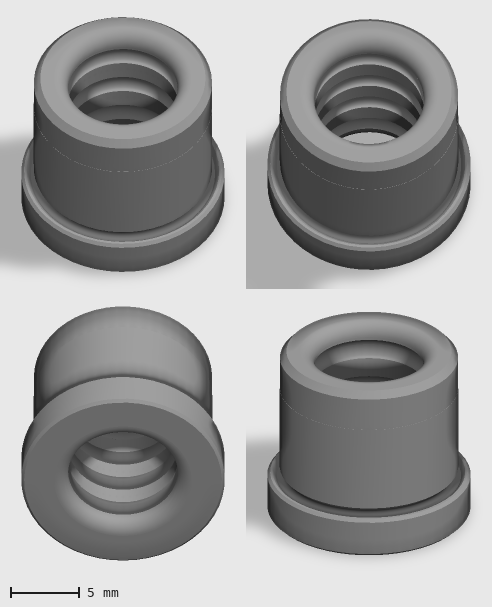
import cadquery as cq
import math

flange_radius = 7.4
height = 13.0
flange_height = 3.0

body_radius = 6.5
pilot_radius = 6.48
pilot_length = 3.0
lead_chamfer_width = 0.47
lead_chamfer_height = 0.5
flange_chamfer = 0.2

body_bottom = 3.5
undercut_outer_radius = 7.0
undercut_depth = 0.3
undercut_round = 0.25
relief_angle = 45.0

bore_radius = 4.0
mouth_radius = 1.0
groove_count = 4
groove_radius = 0.75
groove_pitch = 3.0


def make_blank():
    """Revolve the outside profile, drawn as (radius, height)."""
    floor_height = flange_height - undercut_depth
    corner_radius = body_radius - body_bottom + floor_height
    tangent_length = undercut_round / math.tan(math.radians(relief_angle / 2))
    round_start = corner_radius + tangent_length
    relief_rise = tangent_length * math.sin(math.radians(relief_angle))
    relief_end = (corner_radius + relief_rise, floor_height + relief_rise)
    pilot_bottom = height - pilot_length
    return (
        cq.Workplane("XZ")
        .moveTo(0, 0)
        .lineTo(flange_radius - flange_chamfer, 0)
        .lineTo(flange_radius, flange_chamfer)
        .lineTo(flange_radius, flange_height - flange_chamfer)
        .lineTo(flange_radius - flange_chamfer, flange_height)
        .lineTo(undercut_outer_radius, flange_height)
        .lineTo(undercut_outer_radius - undercut_depth, floor_height)
        .lineTo(round_start, floor_height)
        .tangentArcPoint(relief_end, relative=False)
        .lineTo(body_radius, body_bottom)
        .lineTo(body_radius, pilot_bottom)
        .lineTo(pilot_radius, pilot_bottom)
        .lineTo(pilot_radius, height - lead_chamfer_height)
        .lineTo(pilot_radius - lead_chamfer_width, height)
        .lineTo(0, height)
        .close()
        .revolve(360, (0, 0, 0), (0, 1, 0))
    )


def make_bore():
    """Revolve the through bore, flared by a quarter round at each mouth."""
    mouth_outer = bore_radius + mouth_radius
    arc_inset = mouth_radius * (1 - math.sqrt(0.5))
    return (
        cq.Workplane("XZ")
        .moveTo(0, 0)
        .lineTo(mouth_outer, 0)
        .threePointArc((bore_radius + arc_inset, arc_inset), (bore_radius, mouth_radius))
        .lineTo(bore_radius, height - mouth_radius)
        .threePointArc((bore_radius + arc_inset, height - arc_inset), (mouth_outer, height))
        .lineTo(0, height)
        .close()
        .revolve(360, (0, 0, 0), (0, 1, 0))
    )


def make_groove(center_height):
    """Ring whose outer half cuts a half-round groove into the bore."""
    return cq.Workplane(cq.Solid.makeTorus(bore_radius, groove_radius, cq.Vector(0, 0, center_height)))


result = make_blank().cut(make_bore())
for index in range(groove_count):
    offset = (index - (groove_count - 1) / 2) * groove_pitch
    result = result.cut(make_groove(height / 2 + offset))